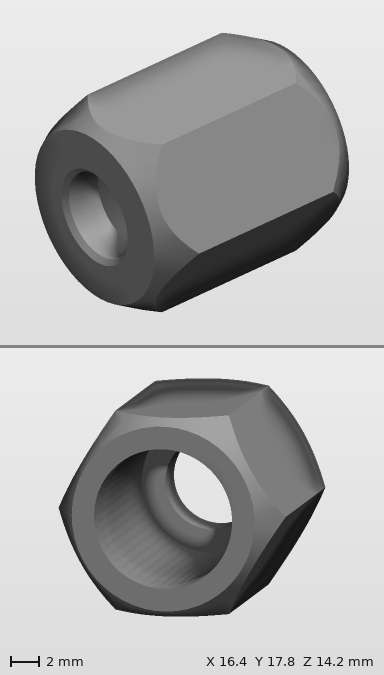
import cadquery as cq
import math

length = 17.78
across_flats = 14.22
face_diameter = 13.23
chamfer_angle = 30.0
bore_diameter = 6.61
countersink_diameter = 7.36
socket_diameter = 10.0
lip_length = 3.04
countersink_angle = 45.0
corner_clearance = 0.18

across_corners = across_flats / math.cos(math.radians(30))
half_length = length / 2
corner_radius = across_corners / 2
face_radius = face_diameter / 2
bore_radius = bore_diameter / 2
socket_radius = socket_diameter / 2
socket_floor = -half_length + lip_length
countersink_radius = countersink_diameter / 2
chamfer_slope = math.tan(math.radians(chamfer_angle))
countersink_depth = (countersink_radius - bore_radius) / math.tan(math.radians(countersink_angle))


def hex_bar():
    """Hexagonal bar centred on the origin, running along Y."""
    return cq.Workplane("XZ").polygon(6, across_corners).extrude(half_length, both=True)


def turned_envelope():
    """Revolved body with the conical ends and a countersunk bore opening into the socket."""
    outer_radius = corner_radius + corner_clearance
    cone_start = half_length - (outer_radius - face_radius) / chamfer_slope
    bore_start = -half_length + countersink_depth
    profile = [
        (bore_radius, bore_start),
        (countersink_radius, -half_length),
        (face_radius, -half_length),
        (outer_radius, -cone_start),
        (outer_radius, cone_start),
        (face_radius, half_length),
        (socket_radius, half_length),
        (socket_radius, socket_floor),
        (bore_radius, socket_floor),
    ]
    return cq.Workplane("XY").polyline(profile).close().revolve(360, (0, 0), (0, 1))


result = hex_bar().intersect(turned_envelope())